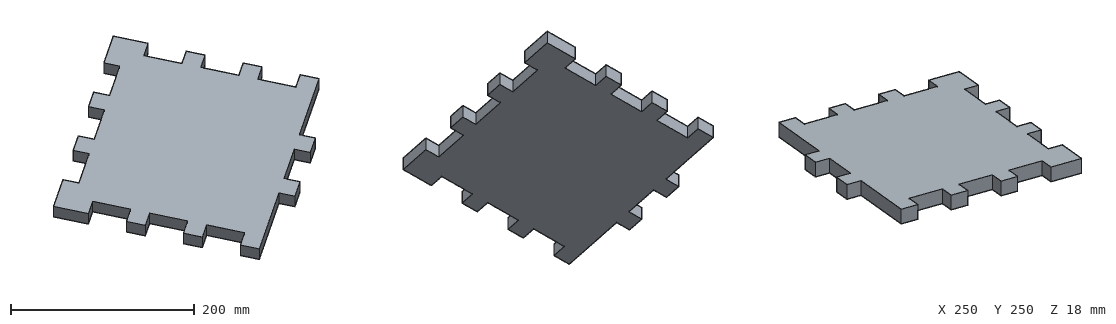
import cadquery as cq

outer_size = 250.0
thickness = 18.0
finger_depth = thickness

units_per_side = 10
inner_size = outer_size - 2 * finger_depth
finger_width = inner_size / units_per_side
gap_width = 2 * finger_width
finger_pitch = finger_width + gap_width
gaps_per_side = 3

half_outer = outer_size / 2
half_inner = inner_size / 2
edge_center = half_outer - finger_depth / 2
gap_offsets = [(i - (gaps_per_side - 1) / 2) * finger_pitch for i in range(gaps_per_side)]
finger_offsets = [-finger_pitch / 2, finger_pitch / 2]


def plates(length_x, length_y, centers):
    """Full-thickness rectangular plates of one size at the given XY centres."""
    return cq.Workplane("XY").pushPoints(centers).rect(length_x, length_y).extrude(thickness)


def panel_blank():
    """Panel at full height, from the outer left side to the root of the right fingers."""
    length_x = half_outer + half_inner
    center_x = (half_inner - half_outer) / 2
    return plates(length_x, outer_size, [(center_x, 0)])


def front_and_back_gaps():
    centers = [(x, y) for x in gap_offsets for y in (-edge_center, edge_center)]
    return plates(gap_width, finger_depth, centers)


def left_gaps():
    return plates(finger_depth, gap_width, [(-edge_center, y) for y in gap_offsets])


def right_fingers():
    return plates(finger_depth, finger_width, [(edge_center, y) for y in finger_offsets])


result = panel_blank().cut(front_and_back_gaps()).cut(left_gaps()).union(right_fingers())